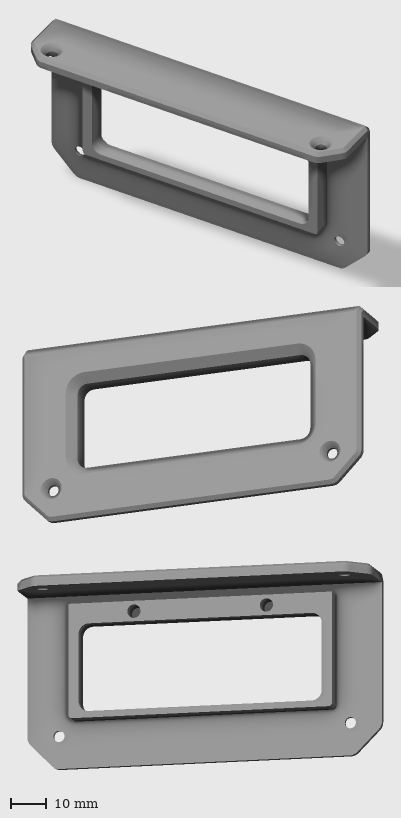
import cadquery as cq

width = 102.0
depth = 20.5
height = 52.0
plate_thickness = 2.5
flange_thickness = 3.2
bend_chamfer = 2.0
rim_chamfer = 1.0

plate_corner_cut = 8.0
flange_corner_cut = 5.9
corner_radius = 3.1

frame_width = 75.9
frame_top = -6.2
frame_bottom = -38.8
frame_depth = 5.2
frame_corner_radius = 1.0
window_width = 70.0
window_top = -12.0
window_bottom = -36.9
window_radius = 3.0
window_flare = plate_thickness

screw_diameter = 3.2
plate_hole_spacing = 83.8
plate_hole_z = -42.7
countersink_diameter = 6.3
countersink_angle = 90
flange_hole_spacing = 86.9
flange_hole_inset = 5.1
socket_diameter = 3.8
socket_spacing = 38.1
socket_z = -9.2
socket_depth = frame_depth

frame_front = -(plate_thickness + frame_depth)


def clipped_panel(plane, length, corner_cut, thickness):
    """Panel hanging from the X axis of a plane, with its two free corners clipped and rounded."""
    half = width / 2
    panel = (
        cq.Workplane(plane)
        .moveTo(-half, 0)
        .lineTo(half, 0)
        .lineTo(half, corner_cut - length)
        .lineTo(half - corner_cut, -length)
        .lineTo(corner_cut - half, -length)
        .lineTo(-half, corner_cut - length)
        .close()
        .extrude(thickness)
    )
    across = cq.selectors.ParallelDirSelector(panel.plane.zDir)
    at_bend = cq.selectors.DirectionMinMaxSelector(panel.plane.yDir)
    return panel.edges(across - at_bend).fillet(corner_radius)


def bracket_body():
    """L-shaped bracket with a beveled bend and a beveled rim around its outer faces."""
    plate = clipped_panel("XZ", height, plate_corner_cut, plate_thickness)
    flange = clipped_panel("XY", depth, flange_corner_cut, -flange_thickness)
    body = plate.union(flange).clean()
    body = body.edges("|X and >Y and >Z").chamfer(bend_chamfer)
    back_rim = body.faces(">Y").edges("not (|X and >Z)")
    top_rim = body.faces(">Z").edges("not (|X and >Y)")
    bend_ends = body.edges("(not |X) and (not |Y) and (not |Z)").edges(">(0, 1, 1)")
    return back_rim.add(top_rim).add(bend_ends).chamfer(rim_chamfer)


def upright_block(block_width, top, bottom, front):
    """Block centered on X that reaches from the back face to Y = front."""
    center = (0, front / 2, (top + bottom) / 2)
    return cq.Workplane("XY").box(block_width, -front, top - bottom).translate(center)


def mirrored_points(spacing, offset):
    """Two points, one on each side of the middle plane."""
    return [(-spacing / 2, offset), (spacing / 2, offset)]


def countersunk_holes(body, plane, points, panel_thickness):
    """Drill countersunk screw holes from the outer face of one panel."""
    return (
        body.copyWorkplane(cq.Workplane(plane))
        .pushPoints(points)
        .cskHole(screw_diameter, countersink_diameter, countersink_angle, depth=panel_thickness)
    )


frame = upright_block(frame_width, frame_top, frame_bottom, frame_front)
frame = frame.edges("|Y and <Z").fillet(frame_corner_radius)
window = upright_block(window_width, window_top, window_bottom, frame_front)
window = window.edges("|Y").fillet(window_radius)
window_rim = cq.selectors.BoxSelector(
    (-frame_width / 2, -plate_thickness, frame_bottom),
    (frame_width / 2, plate_thickness, frame_top),
)

sockets = (
    cq.Workplane("XZ", origin=(0, frame_front, 0))
    .pushPoints(mirrored_points(socket_spacing, socket_z))
    .circle(socket_diameter / 2)
    .extrude(-socket_depth)
)

body = bracket_body().union(frame).cut(window).cut(sockets)
body = body.faces(">Y").edges(window_rim).chamfer(window_flare)

flange_holes = mirrored_points(flange_hole_spacing, flange_hole_inset - depth)
body = countersunk_holes(body, "XY", flange_holes, flange_thickness)
plate_holes = [(z, x) for x, z in mirrored_points(plate_hole_spacing, plate_hole_z)]
result = countersunk_holes(body, "ZX", plate_holes, plate_thickness)